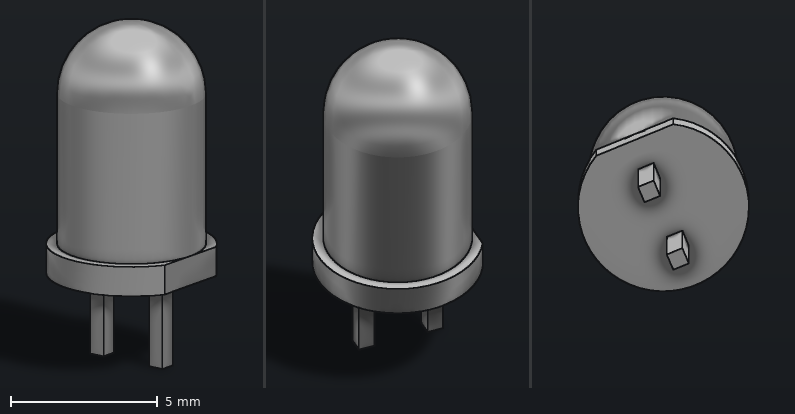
import cadquery as cq

total_height = 11.99
lead_length = 3.08
lead_width = 0.58
lead_pitch = 2.54
flange_diameter = 5.83
flange_thickness = 1.04
lens_diameter = 5.08

lens_radius = lens_diameter / 2
flange_radius = flange_diameter / 2
lens_top = total_height - lead_length
dome_base = lens_top - lens_radius


def make_flange():
    """Round flange with a flat on +X, tangent to the lens."""
    disc = cq.Workplane("XY").circle(flange_radius).extrude(flange_thickness)
    flat_cutter = (
        cq.Workplane("XY")
        .center(lens_radius + flange_radius, 0)
        .rect(flange_diameter, flange_diameter)
        .extrude(flange_thickness)
    )
    return disc.cut(flat_cutter)


def make_lens():
    """Cylindrical lens with a hemispherical top, revolved about Z."""
    return (
        cq.Workplane("XZ")
        .lineTo(lens_radius, 0)
        .lineTo(lens_radius, dome_base)
        .radiusArc((0, lens_top), -lens_radius)
        .close()
        .revolve(360, (0, 0), (0, 1))
    )


def make_housing():
    """Flange and domed lens moulded as one body."""
    return make_flange().union(make_lens())


def make_lead(x):
    """Square lead hanging from the underside of the flange."""
    return cq.Workplane("XY").center(x, 0).rect(lead_width, lead_width).extrude(-lead_length)


housing = make_housing()
leads = [make_lead(side * lead_pitch / 2) for side in (-1, 1)]

result = cq.Compound.makeCompound([housing.val(), *[lead.val() for lead in leads]])